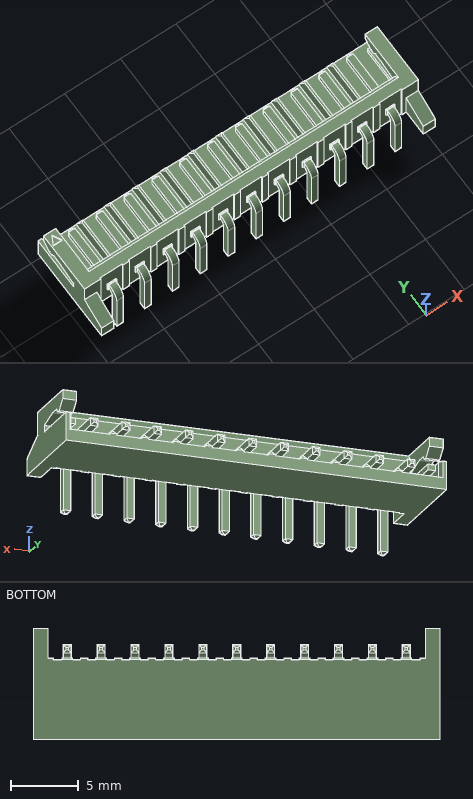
import cadquery as cq


PIN_COUNT = 11
PITCH = 2.5
LENGTH = (PIN_COUNT + 1) * PITCH
HEIGHT = 4.2
FLOOR_TOP = 0.9
WALL_INNER = -4.55
WALL_BEVEL = 0.45
WALL_BEVEL_START = 3.6
PANEL_FACE = -5.9
BACK_FACE = -6.0

END_THICKNESS = 1.1
CHEEK_TOP = 2.2
ARM_FRONT = -0.7
ARM_LIP_BOTTOM = 3.5
BARB_FRONT = -1.45
BARB_BACK = -1.75
BARB_BOTTOM = 2.8
RELIEF_FRONT = -2.0
RELIEF_BACK = -2.8
RELIEF_TOP = 3.1
RELIEF_END_TOP = 2.7
FOOT_BACK = -8.2
FOOT_TOP = 2.4
FOOT_END_TOP = 1.3
MOUTH_WALL = 0.5
MOUTH_END = -1.0
MOUTH_CHAMFER_X = 0.3
MOUTH_CHAMFER_Y = 0.35
GROOVE_TOP = 1.75

STRIP_WIDTH = 0.55
END_STRIP_WIDTH = 1.475
PAD_SIZE = 0.8

RIDGE_WIDTH = 0.62
RIDGE_HEIGHT = 0.45
RIDGE_TIP = 0.35

PIN_SIZE = 0.6
PIN_Z = 2.0
PIN_FRONT = -0.55
PIN_BACK = -7.0
PIN_BOTTOM = -3.2
BEND_INNER = 0.4
BEND_ANGLE = 90
TIP_LENGTH = 0.2
TIP_INSET = 0.2

MARK_X = 0.55
MARK_BASE_Y = -1.75
MARK_WIDTH = 0.8
MARK_HEIGHT = 0.75
MARK_DEPTH = 0.1

HALF = LENGTH / 2
PIN_XS = [(i - (PIN_COUNT - 1) / 2) * PITCH for i in range(PIN_COUNT)]
GAP_XS = [x + PITCH / 2 for x in PIN_XS[:-1]]


def box(x0, x1, y0, y1, z0, z1):
    """Axis-aligned box between two corners."""
    return cq.Workplane("XY").box(x1 - x0, y1 - y0, z1 - z0, centered=False).translate((x0, y0, z0))


def extrude_along_x(profile, x0, x1):
    """Extrude a closed YZ outline from x0 to x1."""
    return profile.extrude(x1 - x0).translate((x0, 0, 0))


def floor_and_wall():
    outline = (
        cq.Workplane("YZ")
        .moveTo(0, 0)
        .lineTo(0, FLOOR_TOP)
        .lineTo(WALL_INNER, FLOOR_TOP)
        .lineTo(WALL_INNER, WALL_BEVEL_START)
        .lineTo(WALL_INNER - WALL_BEVEL, HEIGHT)
        .lineTo(PANEL_FACE, HEIGHT)
        .lineTo(PANEL_FACE, 0)
        .close()
    )
    return extrude_along_x(outline, -HALF, HALF)


def left_end():
    """Cheek with a latch arm above it and a foot behind it."""
    outline = (
        cq.Workplane("YZ")
        .moveTo(0, 0)
        .lineTo(0, CHEEK_TOP)
        .lineTo(WALL_INNER, CHEEK_TOP)
        .lineTo(WALL_INNER, RELIEF_END_TOP)
        .lineTo(RELIEF_BACK, RELIEF_TOP)
        .lineTo(RELIEF_FRONT, RELIEF_TOP)
        .lineTo(BARB_BACK, BARB_BOTTOM)
        .lineTo(BARB_FRONT, BARB_BOTTOM)
        .lineTo(ARM_FRONT, ARM_LIP_BOTTOM)
        .lineTo(ARM_FRONT, HEIGHT)
        .lineTo(BACK_FACE, HEIGHT)
        .lineTo(BACK_FACE, FOOT_TOP)
        .lineTo(FOOT_BACK, FOOT_END_TOP)
        .lineTo(FOOT_BACK, 0)
        .close()
    )
    end = extrude_along_x(outline, -HALF, -HALF + END_THICKNESS)
    mouth = (
        cq.Workplane("XY", origin=(-HALF, 0, FLOOR_TOP))
        .moveTo(MOUTH_CHAMFER_X, 0)
        .lineTo(MOUTH_WALL, -MOUTH_CHAMFER_Y)
        .lineTo(MOUTH_WALL, MOUTH_END)
        .lineTo(END_THICKNESS, MOUTH_END)
        .lineTo(END_THICKNESS, 0)
        .close()
        .extrude(CHEEK_TOP - FLOOR_TOP)
    )
    groove = box(-HALF + MOUTH_WALL, -HALF + END_THICKNESS, WALL_INNER, MOUTH_END, FLOOR_TOP, GROOVE_TOP)
    return end.cut(mouth).cut(groove)


def strip(x0, x1):
    """Full-height raised strip on the outside of the back wall."""
    return box(x0, x1, BACK_FACE, WALL_INNER - WALL_BEVEL, 0, HEIGHT)


def pad(x):
    """Square raised pad around a contact where it leaves the back wall."""
    half = PAD_SIZE / 2
    return box(x - half, x + half, BACK_FACE, WALL_INNER, PIN_Z - half, PIN_Z + half)


def ridge(x):
    """Triangular ridge on the floor with a bevelled front end."""
    body = (
        cq.Workplane("XZ", origin=(x, 0, FLOOR_TOP))
        .moveTo(-RIDGE_WIDTH / 2, 0)
        .lineTo(RIDGE_WIDTH / 2, 0)
        .lineTo(0, RIDGE_HEIGHT)
        .close()
        .extrude(-WALL_INNER)
    )
    peak = FLOOR_TOP + RIDGE_HEIGHT
    bevel = (
        cq.Workplane("YZ")
        .moveTo(0, peak - RIDGE_TIP)
        .lineTo(0, peak)
        .lineTo(-RIDGE_TIP, peak)
        .close()
    )
    return body.cut(extrude_along_x(bevel, x - RIDGE_WIDTH / 2, x + RIDGE_WIDTH / 2))


def tip(plane):
    """Tapered end of a square pin, growing along the plane normal."""
    small = PIN_SIZE - 2 * TIP_INSET
    return (
        cq.Workplane(plane)
        .rect(PIN_SIZE, PIN_SIZE)
        .workplane(offset=TIP_LENGTH)
        .rect(small, small)
        .loft()
    )


def pin(x):
    """Square contact bent down by 90 degrees, tapered at both ends."""
    half = PIN_SIZE / 2
    leg_y = PIN_BACK + half
    radius = BEND_INNER + half
    front = PIN_FRONT - TIP_LENGTH
    bottom = PIN_BOTTOM + TIP_LENGTH
    bend_y = leg_y + radius
    bend_z = PIN_Z - radius
    leg = box(x - half, x + half, PIN_BACK, PIN_BACK + PIN_SIZE, bottom, bend_z)
    arm = box(x - half, x + half, bend_y, front, PIN_Z - half, PIN_Z + half)
    bend = (
        cq.Workplane("XZ", origin=(x, bend_y, PIN_Z))
        .rect(PIN_SIZE, PIN_SIZE)
        .revolve(BEND_ANGLE, (-1, -radius, 0), (1, -radius, 0))
    )
    front_tip = tip(cq.Plane((x, front, PIN_Z), (1, 0, 0), (0, 1, 0)))
    bottom_tip = tip(cq.Plane((x, leg_y, bottom), (1, 0, 0), (0, 0, -1)))
    return arm.union(bend).union(leg).union(front_tip).union(bottom_tip)


def first_contact_mark():
    """Shallow triangular recess in the top of the left arm."""
    return (
        cq.Workplane("XY", origin=(-HALF + MARK_X, MARK_BASE_Y, HEIGHT - MARK_DEPTH))
        .moveTo(-MARK_WIDTH / 2, 0)
        .lineTo(MARK_WIDTH / 2, 0)
        .lineTo(0, MARK_HEIGHT)
        .close()
        .extrude(MARK_DEPTH)
    )


end = left_end()
result = floor_and_wall().union(end).union(end.mirror("YZ"))

result = result.union(strip(-HALF, -HALF + END_STRIP_WIDTH))
result = result.union(strip(HALF - END_STRIP_WIDTH, HALF))
for gap_x in GAP_XS:
    result = result.union(strip(gap_x - STRIP_WIDTH / 2, gap_x + STRIP_WIDTH / 2))
    result = result.union(ridge(gap_x))

for pin_x in PIN_XS:
    result = result.union(pad(pin_x))
    result = result.union(pin(pin_x))

result = result.cut(first_contact_mark())